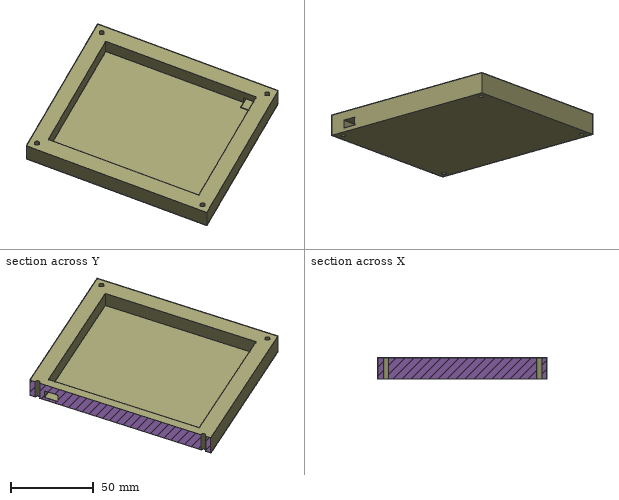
import cadquery as cq

length = 120.0
width = 102.0
height = 13.0
wall = 10.0
floor_thickness = 3.0
pocket_length = length - 2 * wall
pocket_width = width - 2 * wall
pocket_depth = height - floor_thickness

hole_diameter = 2.9
hole_x = length / 2 - wall / 2
hole_y = width / 2 - wall / 2
front_left_hole = (-55.05, -46.4)
front_right_hole = (55.2, -46.75)
hole_centres = [(-hole_x, hole_y), (hole_x, hole_y), front_left_hole, front_right_hole]

passage_width = 8.5
passage_height = 5.0
passage_floor_overlap = 4.0
passage_sink = 0.5
passage_side_cut = 0.1


def make_body():
    return cq.Workplane("XY").box(length, width, height, centered=(True, True, False))


def make_pocket():
    return (
        cq.Workplane("XY")
        .workplane(offset=floor_thickness)
        .rect(pocket_length, pocket_width)
        .extrude(pocket_depth)
    )


def make_screw_holes():
    return (
        cq.Workplane("XY")
        .pushPoints(hole_centres)
        .circle(hole_diameter / 2)
        .extrude(height)
    )


def make_passage():
    start_x = pocket_length / 2 + passage_side_cut - passage_width
    start_y = pocket_width / 2 - passage_floor_overlap
    start_z = floor_thickness - passage_sink
    return (
        cq.Workplane("XY")
        .box(passage_width, passage_floor_overlap + wall, passage_height, centered=False)
        .translate((start_x, start_y, start_z))
    )


result = make_body().cut(make_pocket()).cut(make_screw_holes()).cut(make_passage())